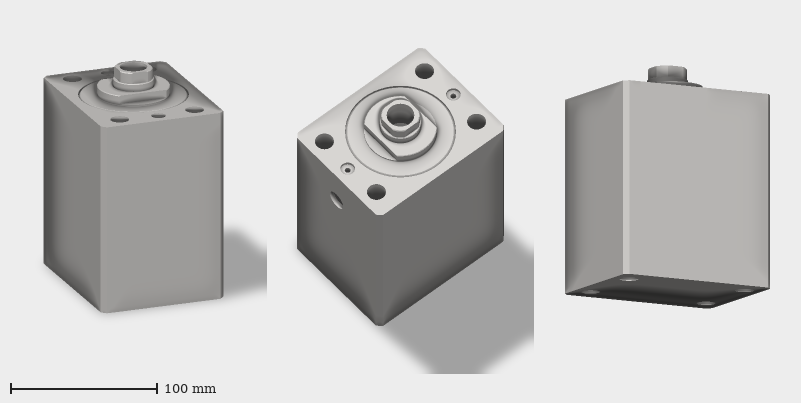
import cadquery as cq
import math

block_length = 115.0
block_width = 90.0
total_height = 154.9
rod_projection = 20.0
block_height = total_height - rod_projection
corner_chamfer = 3.4

bolt_hole_diameter = 13.0
bolt_spacing_x = 90.0
bolt_spacing_y = 55.0

passage_diameter = 4.0
top_port_spacing = 95.0
top_port_diameter = 10.0
top_port_depth = 2.0
top_passage_depth = 15.5
side_port_diameter = 14.0
side_port_depth = 3.4
side_port_drop = 29.0

gland_diameter = 75.9
gland_depth = 38.7
gland_chamfer = 1.5
collar_diameter = 50.0
collar_across_flats = 36.1
flats_start = 1.1
collar_end = 7.0
collar_top_chamfer = 0.5
collar_base_fillet = 0.5
bore_chamfer = 0.6

neck_diameter = 28.0
neck_end = 12.1
neck_chamfer = 0.5
head_across_flats = 23.7
head_diameter = 26.5
head_chamfer = 0.6
socket_diameter = 18.9
socket_depth = 23.2
drill_point_angle = 118.0

gland_bottom = block_height - gland_depth
flats_bottom = block_height + flats_start
collar_top = block_height + collar_end
neck_top = block_height + neck_end


def cylinder(diameter, bottom, top):
    """Upright cylinder on the Z axis between two heights."""
    return cq.Workplane("XY").workplane(offset=bottom).circle(diameter / 2).extrude(top - bottom)


def make_housing():
    block = (
        cq.Workplane("XY")
        .box(block_length, block_width, block_height, centered=(True, True, False))
        .edges("|Z")
        .chamfer(corner_chamfer)
    )
    block = (
        block.faces(">Z")
        .workplane(origin=(0, 0, block_height))
        .rarray(bolt_spacing_x, bolt_spacing_y, 2, 2)
        .hole(bolt_hole_diameter)
    )
    gland_recess = cylinder(gland_diameter, gland_bottom, block_height)
    return cut_side_port(cut_top_ports(block.cut(gland_recess)))


def cut_top_ports(block):
    """Counterbored blind oil passages in the top face, one each side of the gland."""
    return (
        block.faces(">Z")
        .workplane(origin=(0, 0, block_height))
        .rarray(top_port_spacing, 1.5, 2, 1)
        .cboreHole(passage_diameter, top_port_diameter, top_port_depth, top_passage_depth)
    )


def cut_side_port(block):
    """Counterbored port in the -X side, drilled through to the gland recess."""
    passage_length = block_length / 2
    return (
        block.faces("<X")
        .workplane(origin=(0, 0, block_height - side_port_drop))
        .cboreHole(passage_diameter, side_port_diameter, side_port_depth, passage_length)
    )


def flats_prism(length_x, length_y):
    """Upright rectangular prism, used to trim round stock to its spanner flats."""
    return cq.Workplane("XY").rect(length_x, length_y).extrude(total_height)


def make_gland():
    disc = cylinder(gland_diameter, gland_bottom, block_height).faces(">Z").chamfer(gland_chamfer)
    collar_base = cylinder(collar_diameter, block_height, flats_bottom)
    collar = cylinder(collar_diameter, flats_bottom, collar_top).faces(">Z").chamfer(collar_top_chamfer)
    collar = collar.intersect(flats_prism(collar_across_flats, collar_diameter))
    base = disc.union(collar_base)
    collar_foot = base.faces(">Z[-2]").edges(cq.selectors.RadiusNthSelector(0))
    base = collar_foot.fillet(collar_base_fillet)
    gland = base.union(collar).cut(cylinder(neck_diameter, gland_bottom, collar_top))
    bore_rim = gland.faces(">Z").edges(cq.selectors.RadiusNthSelector(0))
    return bore_rim.chamfer(bore_chamfer)


def make_rod():
    neck = cylinder(neck_diameter, gland_bottom, neck_top).faces(">Z").chamfer(neck_chamfer)
    head = cylinder(head_diameter, neck_top, total_height).faces(">Z").chamfer(head_chamfer)
    head = head.intersect(flats_prism(head_across_flats, head_across_flats))
    return neck.union(head).cut(make_socket())


def make_socket():
    """Drilled hole with a conical bottom, as a solid to cut away."""
    radius = socket_diameter / 2
    point_length = radius / math.tan(math.radians(drill_point_angle / 2))
    return (
        cq.Workplane("XZ", origin=(0, 0, total_height))
        .polyline([(0, 0), (radius, 0), (radius, -socket_depth), (0, -socket_depth - point_length)])
        .close()
        .revolve(360, (0, 0, 0), (0, 1, 0))
    )


housing = make_housing()
gland = make_gland()
rod = make_rod()

result = cq.Compound.makeCompound([body.solids().val() for body in (housing, gland, rod)])